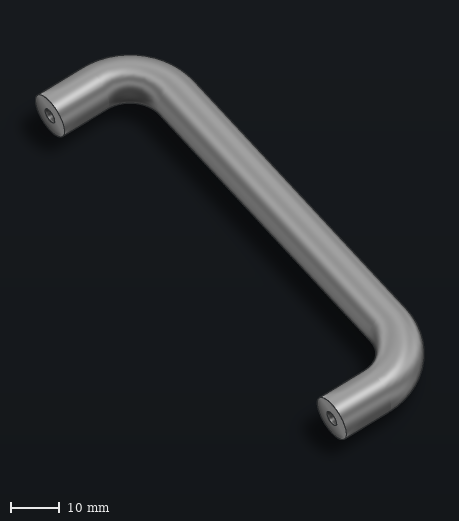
import cadquery as cq
import math

overall_length = 106.0
overall_depth = 28.5
bar_diameter = 10.0
bend_radius = 12.0
hole_diameter = 3.3
hole_depth = 10.0
drill_point_angle = 118.0

bar_radius = bar_diameter / 2
leg_x = overall_length / 2 - bar_radius
grip_y = overall_depth - bar_radius
bend_y = grip_y - bend_radius
grip_half_length = leg_x - bend_radius


def make_handle():
    """Sweep the round bar up one leg, along the grip and down the other leg."""
    centreline = (
        cq.Workplane("XY")
        .moveTo(-leg_x, 0)
        .lineTo(-leg_x, bend_y)
        .tangentArcPoint((-grip_half_length, grip_y), relative=False)
        .lineTo(grip_half_length, grip_y)
        .tangentArcPoint((leg_x, bend_y), relative=False)
        .lineTo(leg_x, 0)
    )
    return cq.Workplane("XZ").center(-leg_x, 0).circle(bar_radius).sweep(centreline)


def make_mounting_hole(x):
    """Blind drilled hole entering a leg end along +Y, with a conical bottom."""
    radius = hole_diameter / 2
    point_length = radius / math.tan(math.radians(drill_point_angle / 2))
    profile = (
        cq.Workplane("XY")
        .center(x, 0)
        .lineTo(radius, 0)
        .lineTo(radius, hole_depth)
        .lineTo(0, hole_depth + point_length)
        .close()
    )
    return profile.revolve(360, (0, 0), (0, 1))


result = make_handle()
for hole_x in (-leg_x, leg_x):
    result = result.cut(make_mounting_hole(hole_x))